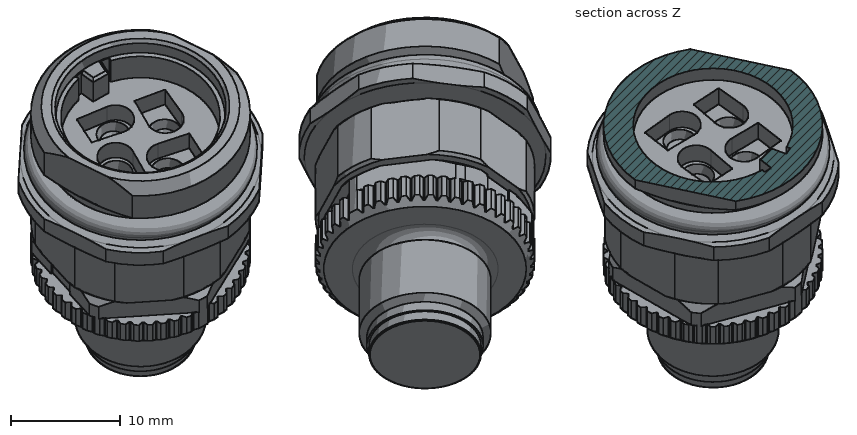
import cadquery as cq
import math

COLLAR_TOP = 1.02
SPIGOT_TOP = 2.0
SLEEVE_BOTTOM = 2.5
SLEEVE_TOP = 8.65
NECK_WAIST = 9.05
KNURL_BOTTOM = 9.95
KNURL_TOP = 12.95
COUPLING_TOP = 15.42
NUT_BOTTOM = 15.6
NUT_TOP = 22.1
NECK_STEP = 22.75
FLANGE_BOTTOM = 22.9
FLANGE_TOP = 24.95
HEAD_BOTTOM = 27.2
TOTAL_HEIGHT = 32.0

TIP_RADIUS = 5.12
TIP_EDGE = 0.1
SPIGOT_RADIUS = 5.3
SLEEVE_RADIUS = 6.0
BODY_RADIUS = 10.0
CORE_RADIUS = 6.88
NECK_RADIUS = 8.48
NECK_COLLAR_RADIUS = 8.55
HEAD_NECK_RADIUS = 8.7
FLANGE_RADIUS = 23.0 / 2

THROAT_ARC_RADIUS = 1.28
THROAT_TOP_RADIUS = 6.65

SEAL_OUTER_RADIUS = 10.65
SEAL_WIRE_RADIUS = 1.0

FLANGE_APOTHEM = 11.0
NUT_APOTHEM = 9.5
COUPLING_APOTHEM = 8.9
HEX_TURN = 7.7
FLANGE_TURN = 30.0

FLANGE_EDGE_WIDTH = 0.48
FLANGE_EDGE_HEIGHT = 0.15
NUT_EDGE = 0.3
COUPLING_EDGE = 0.8
KNURL_EDGE = 0.77

MARK_DIRECTION = HEX_TURN + 240
MARK_WIDTH = 3.0
MARK_DEPTH = 0.2

GROOVES_PER_RUN = 25
GROOVE_DEPTH = 0.35
GROOVE_ROOT_WIDTH = 0.13
GROOVE_RIM_WIDTH = 0.77
PLAIN_LAND_DIRECTION = HEX_TURN + 150
FIRST_GROOVE_OFFSET = 5.1

HEAD_HALF_WIDTH = 8.8
HEAD_TOP_EDGE = 0.95
HEAD_SHOULDER = 27.9

MOUTH_RADIUS = 8.13
MOUTH_EDGE_DEPTH = 0.3
BORE_TOP_RADIUS = 7.8
BORE_RADIUS = 7.7
LEDGE_DEPTH = 1.5
SOCKET_RADIUS = 7.25
FLOOR_DEPTH = 4.48

KEY_DIRECTION = 159.2
KEY_INNER_RADIUS = 6.08
KEY_INNER_WIDTH = 1.8
KEY_OUTER_WIDTH = 2.37
KEY_EDGE = 0.25
KEY_GAP_ANGLE = 29.0
KEY_GAP_RADIUS = 7.6

CONTACT_COUNT = 4
CONTACT_ANGLE = 81.2
CONTACT_CIRCLE_RADIUS = 3.33
CONTACT_RADIUS = 1.55
CONTACT_BOTTOM_RADIUS = 1.2
CONTACT_DEPTH = 0.95
CONTACT_TIP_DEPTH = 0.95
POCKET_ANGLE = 78.0
POCKET_CIRCLE_RADIUS = 3.2
POCKET_ROUND_RADIUS = 1.7
POCKET_AXIS = 149.0
POCKET_LENGTH = 3.2
POCKET_END_WIDTH = 3.1
POCKET_DEPTH = 2.08


def polar(radius, degrees):
    """Point in the XY plane at a radius and a direction."""
    angle = math.radians(degrees)
    return radius * math.cos(angle), radius * math.sin(angle)


def revolve(points):
    """Solid of revolution about Z from a closed list of (radius, height) points."""
    return cq.Workplane("XZ").polyline(points).close().revolve(360, (0, 0), (0, 1))


def disc(radius, bottom, top):
    return cq.Workplane("XY").workplane(offset=bottom).circle(radius).extrude(top - bottom)


def turned_hexagon(apothem, turn, bottom, top, profile):
    """Hexagonal prism with its corners trimmed by a turned profile."""
    corners = [polar(apothem / math.cos(math.pi / 6), turn + 30 + 60 * i) for i in range(6)]
    prism = cq.Workplane("XY").workplane(offset=bottom).polyline(corners).close().extrude(top - bottom)
    return prism.intersect(revolve(profile))


def chamfered_profile(radius, bottom, top, width, height):
    """Half section of a disc with both rims chamfered."""
    return [
        (0, bottom),
        (radius - width, bottom),
        (radius, bottom + height),
        (radius, top - height),
        (radius - width, top),
        (0, top),
    ]


def make_plug_end():
    """Tip, spigot, sleeve and the concave throat under the knurled ring."""
    throat_center = KNURL_BOTTOM - THROAT_ARC_RADIUS

    def throat_radius(height):
        rise = height - throat_center
        return THROAT_TOP_RADIUS - math.sqrt(THROAT_ARC_RADIUS**2 - rise**2)

    throat_middle = (NECK_WAIST + KNURL_BOTTOM) / 2
    return (
        cq.Workplane("XZ")
        .moveTo(0, 0)
        .lineTo(TIP_RADIUS - TIP_EDGE, 0)
        .lineTo(TIP_RADIUS, TIP_EDGE)
        .lineTo(TIP_RADIUS, COLLAR_TOP)
        .lineTo(SPIGOT_RADIUS, COLLAR_TOP)
        .lineTo(SPIGOT_RADIUS, SPIGOT_TOP)
        .lineTo(SLEEVE_RADIUS, SLEEVE_BOTTOM)
        .lineTo(SLEEVE_RADIUS, SLEEVE_TOP)
        .lineTo(throat_radius(NECK_WAIST), NECK_WAIST)
        .threePointArc((throat_radius(throat_middle), throat_middle), (THROAT_TOP_RADIUS, KNURL_BOTTOM))
        .lineTo(0, KNURL_BOTTOM)
        .close()
        .revolve(360, (0, 0), (0, 1))
    )


def make_knurled_ring():
    ring = revolve([
        (0, KNURL_BOTTOM),
        (BODY_RADIUS - KNURL_EDGE, KNURL_BOTTOM),
        (BODY_RADIUS, KNURL_BOTTOM + KNURL_EDGE),
        (BODY_RADIUS, KNURL_TOP),
        (0, KNURL_TOP),
    ])
    pitch = (180 - 2 * FIRST_GROOVE_OFFSET) / (GROOVES_PER_RUN - 1)
    root = BODY_RADIUS - GROOVE_DEPTH
    half_root = GROOVE_ROOT_WIDTH / 2
    half_end = GROOVE_RIM_WIDTH - half_root
    end = BODY_RADIUS + GROOVE_DEPTH
    cutter = (
        cq.Workplane("XY")
        .workplane(offset=KNURL_BOTTOM)
        .polyline([(root, half_root), (root, -half_root), (end, -half_end), (end, half_end)])
        .close()
        .extrude(KNURL_TOP - KNURL_BOTTOM)
        .val()
    )
    cutters = []
    for run_start in (PLAIN_LAND_DIRECTION, PLAIN_LAND_DIRECTION + 180):
        for i in range(GROOVES_PER_RUN):
            direction = run_start + FIRST_GROOVE_OFFSET + i * pitch
            cutters.append(cutter.rotate((0, 0, 0), (0, 0, 1), direction))
    return ring.cut(cq.Workplane(cq.Compound.makeCompound(cutters)))


def make_coupling_hexagon():
    profile = [
        (0, KNURL_TOP),
        (BODY_RADIUS, KNURL_TOP),
        (BODY_RADIUS, COUPLING_TOP - COUPLING_EDGE),
        (BODY_RADIUS - COUPLING_EDGE, COUPLING_TOP),
        (0, COUPLING_TOP),
    ]
    hexagon = turned_hexagon(COUPLING_APOTHEM, HEX_TURN, KNURL_TOP, COUPLING_TOP, profile)
    mark = (
        cq.Workplane("XY")
        .box(2 * MARK_DEPTH, MARK_WIDTH, COUPLING_TOP - KNURL_TOP, centered=(True, True, False))
        .translate((COUPLING_APOTHEM, 0, KNURL_TOP))
        .rotate((0, 0, 0), (0, 0, 1), MARK_DIRECTION)
    )
    return hexagon.cut(mark)


def make_nut():
    profile = chamfered_profile(BODY_RADIUS, NUT_BOTTOM, NUT_TOP, NUT_EDGE, NUT_EDGE)
    return turned_hexagon(NUT_APOTHEM, HEX_TURN, NUT_BOTTOM, NUT_TOP, profile)


def make_flange():
    profile = chamfered_profile(
        FLANGE_RADIUS, FLANGE_BOTTOM, FLANGE_TOP, FLANGE_EDGE_WIDTH, FLANGE_EDGE_HEIGHT
    )
    return turned_hexagon(FLANGE_APOTHEM, FLANGE_TURN, FLANGE_BOTTOM, FLANGE_TOP, profile)


def make_sealing_ring():
    wire_center = SEAL_OUTER_RADIUS - SEAL_WIRE_RADIUS
    return (
        cq.Workplane("XZ")
        .center(wire_center, FLANGE_TOP + SEAL_WIRE_RADIUS)
        .circle(SEAL_WIRE_RADIUS)
        .revolve(360, (-wire_center, 0), (-wire_center, 1))
    )


def make_head():
    """Round head with two flats, chamfered above and below."""
    turned = revolve([
        (0, HEAD_BOTTOM),
        (HEAD_NECK_RADIUS, HEAD_BOTTOM),
        (BODY_RADIUS, HEAD_SHOULDER),
        (BODY_RADIUS, TOTAL_HEIGHT - HEAD_TOP_EDGE),
        (BODY_RADIUS - HEAD_TOP_EDGE, TOTAL_HEIGHT),
        (0, TOTAL_HEIGHT),
    ])
    slab = (
        cq.Workplane("XY")
        .box(2 * BODY_RADIUS, 2 * HEAD_HALF_WIDTH, TOTAL_HEIGHT - HEAD_BOTTOM, centered=(True, True, False))
        .translate((0, 0, HEAD_BOTTOM))
    )
    return turned.intersect(slab)


def make_socket():
    """Stepped bore, with the wider gap around the key and the key left standing."""
    ledge = TOTAL_HEIGHT - LEDGE_DEPTH
    floor = TOTAL_HEIGHT - FLOOR_DEPTH
    bore = revolve([
        (0, floor),
        (SOCKET_RADIUS, floor),
        (SOCKET_RADIUS, ledge),
        (BORE_RADIUS, ledge),
        (BORE_TOP_RADIUS, TOTAL_HEIGHT - MOUTH_EDGE_DEPTH),
        (MOUTH_RADIUS, TOTAL_HEIGHT),
        (0, TOTAL_HEIGHT),
    ])
    half_gap = KEY_GAP_ANGLE / 2
    gap = (
        cq.Workplane("XY")
        .workplane(offset=floor)
        .lineTo(*polar(KEY_GAP_RADIUS, KEY_DIRECTION - half_gap))
        .threePointArc(
            polar(KEY_GAP_RADIUS, KEY_DIRECTION), polar(KEY_GAP_RADIUS, KEY_DIRECTION + half_gap)
        )
        .close()
        .extrude(ledge - floor)
    )
    key = (
        cq.Workplane("XY")
        .workplane(offset=floor)
        .polyline([
            (KEY_INNER_RADIUS, -KEY_INNER_WIDTH / 2),
            (BORE_RADIUS, -KEY_OUTER_WIDTH / 2),
            (BORE_RADIUS, KEY_OUTER_WIDTH / 2),
            (KEY_INNER_RADIUS, KEY_INNER_WIDTH / 2),
        ])
        .close()
        .extrude(ledge - floor)
        .faces(">Z")
        .edges("not >X")
        .chamfer(KEY_EDGE)
        .rotate((0, 0, 0), (0, 0, 1), KEY_DIRECTION)
    )
    return bore.union(gap).cut(key)


def make_contact_pocket():
    """Pocket with a round end, tangent sides and a straight end, above a pointed contact hole."""
    floor = TOTAL_HEIGHT - FLOOR_DEPTH
    pocket_floor = floor - POCKET_DEPTH
    corner = (POCKET_LENGTH, POCKET_END_WIDTH / 2)
    corner_angle = math.degrees(math.atan2(corner[1], corner[0]))
    tangent_angle = corner_angle + math.degrees(math.acos(POCKET_ROUND_RADIUS / math.hypot(*corner)))
    pocket = (
        cq.Workplane("XY")
        .workplane(offset=pocket_floor)
        .moveTo(corner[0], -corner[1])
        .lineTo(*corner)
        .lineTo(*polar(POCKET_ROUND_RADIUS, tangent_angle))
        .threePointArc((-POCKET_ROUND_RADIUS, 0), polar(POCKET_ROUND_RADIUS, -tangent_angle))
        .close()
        .extrude(POCKET_DEPTH)
        .rotate((0, 0, 0), (0, 0, 1), POCKET_AXIS)
        .translate((*polar(POCKET_CIRCLE_RADIUS, POCKET_ANGLE), 0))
    )
    hole = revolve([
        (0, pocket_floor),
        (CONTACT_RADIUS, pocket_floor),
        (CONTACT_BOTTOM_RADIUS, pocket_floor - CONTACT_DEPTH),
        (0, pocket_floor - CONTACT_DEPTH - CONTACT_TIP_DEPTH),
    ]).translate((*polar(CONTACT_CIRCLE_RADIUS, CONTACT_ANGLE), 0))
    return pocket.union(hole)


body = (
    make_plug_end()
    .union(make_knurled_ring())
    .union(make_coupling_hexagon())
    .union(disc(CORE_RADIUS, COUPLING_TOP, NUT_BOTTOM))
    .union(make_nut())
    .union(disc(NECK_RADIUS, NUT_TOP, NECK_STEP))
    .union(disc(NECK_COLLAR_RADIUS, NECK_STEP, FLANGE_BOTTOM))
    .union(make_flange())
    .union(disc(HEAD_NECK_RADIUS, FLANGE_TOP, HEAD_BOTTOM))
    .union(make_sealing_ring())
    .union(make_head())
    .cut(make_socket())
)

contact_pocket = make_contact_pocket()
for i in range(CONTACT_COUNT):
    body = body.cut(contact_pocket.rotate((0, 0, 0), (0, 0, 1), 360 / CONTACT_COUNT * i))

result = body